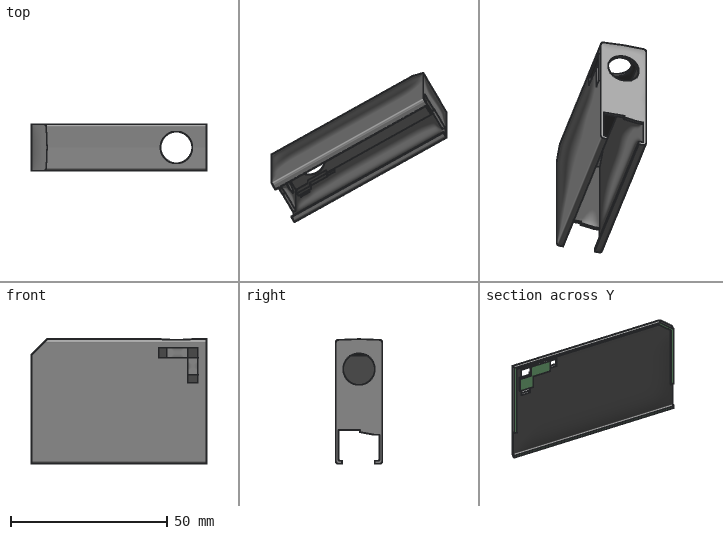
import cadquery as cq
import math

length = 56.0
width = 15.0
height = 40.0
wall = 1.0
roof_edge_z = height - 0.3
edge_radius = 1.0
end_chamfer = 5.0

half_length = length / 2
half_width = width / 2
inner_half_length = half_length - wall
inner_half_width = half_width - wall

lip_thickness = 1.1
back_lip_width = 2.5
front_lip_width = 2.1
lip_fillet = 0.25

opening_front_z = 10.8
opening_step_z = 10.15
opening_back_z = 9.35
opening_step_y = 0.3
opening_slope_end_y = 4.7

hole_diameter = 10.1
hole_edge_distance = 9.65
hole_x = half_length - hole_edge_distance
hole_z = height - hole_edge_distance

slot_width = 3.15
slot_right_x = 25.2
slot_top_z = 37.18
slot_length_x = 12.5
slot_length_z = 11.2
slot_end_gap = 2.6
bar_thickness = 1.0
bar_overlap = 0.8


def box_between(x_range, y_range, z_range):
    """Box spanning the given (low, high) ranges."""
    sizes = [high - low for low, high in (x_range, y_range, z_range)]
    corner = (x_range[0], y_range[0], z_range[0])
    return cq.Workplane("XY").box(*sizes, centered=False).translate(corner)


def extrude_along_x(points, half_span):
    """Solid with a YZ outline, extruded symmetrically about X = 0."""
    return cq.Workplane("YZ").polyline(points).close().extrude(half_span, both=True)


def ridge_section(half_section_width, bottom_z, top_offset):
    """YZ outline with a shallow ridged top, lowered from the outer roof by top_offset."""
    side_z = height - (height - roof_edge_z) * half_section_width / half_width - top_offset
    return [
        (-half_section_width, bottom_z),
        (half_section_width, bottom_z),
        (half_section_width, side_z),
        (0, height - top_offset),
        (-half_section_width, side_z),
    ]


def cut_end_corner(body, end_x, top_z, leg):
    """Remove a 45 degree corner where the -X end meets the roof."""
    clearance = 1.0
    reach = leg + clearance
    corner = (
        cq.Workplane("XZ")
        .polyline([
            (end_x - clearance, top_z - reach),
            (end_x + reach, top_z + clearance),
            (end_x - clearance, top_z + clearance),
        ])
        .close()
        .extrude(width, both=True)
    )
    return body.cut(corner)


def make_outer_body():
    body = extrude_along_x(ridge_section(half_width, 0, 0), half_length)
    for side in ("<Y", ">Y"):
        body = body.faces(side).edges("|X").fillet(edge_radius)
    return cut_end_corner(body, -half_length, height, end_chamfer)


def make_cavity():
    floor_z = lip_thickness + lip_fillet
    cavity = extrude_along_x(ridge_section(inner_half_width, floor_z, wall), inner_half_length)
    inner_chamfer = end_chamfer - wall * (2 - math.sqrt(2))
    return cut_end_corner(cavity, -inner_half_length, height - wall, inner_chamfer)


def make_bottom_opening():
    """Passage through both end walls and out between the lips."""
    above_lips = extrude_along_x(
        [
            (-inner_half_width, lip_thickness),
            (inner_half_width, lip_thickness),
            (inner_half_width, opening_back_z),
            (opening_slope_end_y, opening_back_z),
            (opening_step_y, opening_step_z),
            (opening_step_y, opening_front_z),
            (-inner_half_width, opening_front_z),
        ],
        half_length,
    )
    above_lips = above_lips.faces("<Z").edges("|X").fillet(lip_fillet)
    between_lips = box_between(
        (-half_length, half_length),
        (front_lip_width - half_width, half_width - back_lip_width),
        (0, opening_back_z),
    )
    return above_lips.union(between_lips)


def make_round_holes():
    depth = hole_edge_distance
    radius = hole_diameter / 2
    roof_hole = cq.Workplane("XY", origin=(hole_x, 0, height - depth)).circle(radius).extrude(depth)
    end_hole = cq.Workplane("YZ", origin=(hole_x, 0, hole_z)).circle(radius).extrude(depth)
    return roof_hole.union(end_hole)


def make_l_slot():
    y_range = (-half_width, -inner_half_width)
    horizontal = box_between(
        (slot_right_x - slot_length_x, slot_right_x),
        y_range,
        (slot_top_z - slot_width, slot_top_z),
    )
    vertical = box_between(
        (slot_right_x - slot_width, slot_right_x),
        y_range,
        (slot_top_z - slot_length_z, slot_top_z),
    )
    return horizontal.union(vertical)


def make_slot_bars():
    """Bars behind the two slot arms, leaving the slot corner and both slot ends open."""
    y_range = (-inner_half_width, -inner_half_width + bar_thickness)
    corner_x = slot_right_x - slot_width
    corner_z = slot_top_z - slot_width
    horizontal = box_between(
        (slot_right_x - slot_length_x + slot_end_gap, corner_x),
        y_range,
        (corner_z - bar_overlap, slot_top_z + bar_overlap),
    )
    vertical = box_between(
        (corner_x - bar_overlap, slot_right_x + bar_overlap),
        y_range,
        (slot_top_z - slot_length_z + slot_end_gap, corner_z),
    )
    return horizontal.union(vertical)


result = make_outer_body().cut(make_cavity()).cut(make_bottom_opening())
result = result.cut(make_round_holes()).cut(make_l_slot())
result = result.union(make_slot_bars())